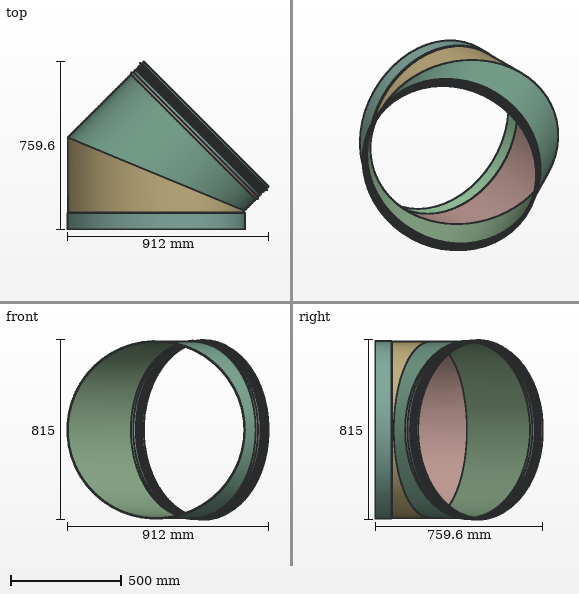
import cadquery as cq
import math

OVERALL_X = 912.0
BEND_ANGLE = 45.0

WALL = 1.4
SOCKET_BORE_RADIUS = 802.0 / 2
SOCKET_RADIUS = SOCKET_BORE_RADIUS + WALL
PIPE_RADIUS = 800.0 / 2

INLET_LENGTH = 250.0
OUTLET_LENGTH = (OVERALL_X - SOCKET_RADIUS) / math.cos(math.radians(BEND_ANGLE)) - PIPE_RADIUS

SOCKET_DEPTH = 72.0
SOCKET_TAPER = 5.0

SPIGOT_LENGTH = 83.0
BEAD_WIDTH = 15.0
BEAD_HEIGHT = 5.0

GROOVE_STARTS = (13.0, 36.0)
GROOVE_WIDTH = 16.0
GROOVE_DEPTH = 2.0
GROOVE_FLANK = 4.1

LIP_RADIUS = 815.0 / 2
LIP_THICKNESS = 2.0


def revolve_about_y(profile):
    """Close a half profile of (radius, y) points and turn it about the Y axis."""
    return profile.close().revolve(360, (0, 0, 0), (0, 1, 0))


def turn_to_outlet(body):
    """Swing a body built along +Y onto the outlet axis."""
    return body.rotate((0, 0, 0), (0, 0, 1), -BEND_ANGLE)


def sheet_tube(outline):
    """Tube of constant radial wall whose outer surface follows (radius, y) points."""
    inner = [(radius - WALL, y) for radius, y in reversed(outline)]
    return revolve_about_y(cq.Workplane("XY").polyline(outline + inner))


def below_miter():
    """Block filling the inlet side of the miter plane, which halves the bend."""
    size = 3 * OVERALL_X
    block = cq.Workplane("XY").box(size, size, size).translate((0, -size / 2, 0))
    return block.rotate((0, 0, 0), (0, 0, 1), -BEND_ANGLE / 2)


def make_inlet_segment():
    """Straight segment with the socket, cut off at the miter."""
    socket_top = SOCKET_DEPTH - INLET_LENGTH
    tube = sheet_tube([
        (SOCKET_RADIUS, -INLET_LENGTH),
        (SOCKET_RADIUS, socket_top),
        (PIPE_RADIUS, socket_top + SOCKET_TAPER),
        (PIPE_RADIUS, PIPE_RADIUS),
    ])
    return tube.intersect(below_miter())


def make_outlet_segment():
    """Plain segment from the miter to the spigot."""
    tube = sheet_tube([
        (PIPE_RADIUS, -PIPE_RADIUS),
        (PIPE_RADIUS, OUTLET_LENGTH - SPIGOT_LENGTH),
    ])
    return turn_to_outlet(tube).cut(below_miter())


def groove_points(start):
    """Outer corners of a groove that starts this far from the open end, inner end first."""
    mouth = OUTLET_LENGTH - start
    floor_radius = PIPE_RADIUS - GROOVE_DEPTH
    return [
        (PIPE_RADIUS, mouth - GROOVE_WIDTH),
        (floor_radius, mouth - GROOVE_WIDTH + GROOVE_FLANK),
        (floor_radius, mouth - GROOVE_FLANK),
        (PIPE_RADIUS, mouth),
    ]


def make_spigot():
    """Spigot sheet: stop bead, two grooves and a plain open end."""
    base = OUTLET_LENGTH - SPIGOT_LENGTH
    bead_middle = base + BEAD_WIDTH / 2
    bead_end = base + BEAD_WIDTH
    inside = PIPE_RADIUS - WALL

    outline = []
    for start in reversed(GROOVE_STARTS):
        outline += groove_points(start)
    outline.append((PIPE_RADIUS, OUTLET_LENGTH))
    inner = [(radius - WALL, y) for radius, y in reversed(outline)]

    profile = cq.Workplane("XY").moveTo(PIPE_RADIUS, base)
    profile = profile.threePointArc((PIPE_RADIUS + BEAD_HEIGHT, bead_middle), (PIPE_RADIUS, bead_end))
    for point in outline + inner + [(inside, bead_end)]:
        profile = profile.lineTo(*point)
    profile = profile.threePointArc((inside + BEAD_HEIGHT, bead_middle), (inside, base))
    return turn_to_outlet(revolve_about_y(profile))


def make_seal():
    """Ring that fills the front groove, with a thin lip standing out of it."""
    inner_corner, inner_floor, outer_floor, outer_corner = groove_points(GROOVE_STARTS[0])
    lip_front = outer_floor[1]
    lip_back = lip_front - LIP_THICKNESS
    profile = cq.Workplane("XY").polyline([
        inner_corner,
        inner_floor,
        outer_floor,
        outer_corner,
        (PIPE_RADIUS, lip_front),
        (LIP_RADIUS, lip_front),
        (LIP_RADIUS, lip_back),
        (PIPE_RADIUS, lip_back),
    ])
    return turn_to_outlet(revolve_about_y(profile))


inlet_segment = make_inlet_segment()
outlet_segment = make_outlet_segment()
spigot = make_spigot()
seal = make_seal()

result = cq.Compound.makeCompound([
    inlet_segment.val(),
    outlet_segment.val(),
    spigot.val(),
    seal.val(),
])